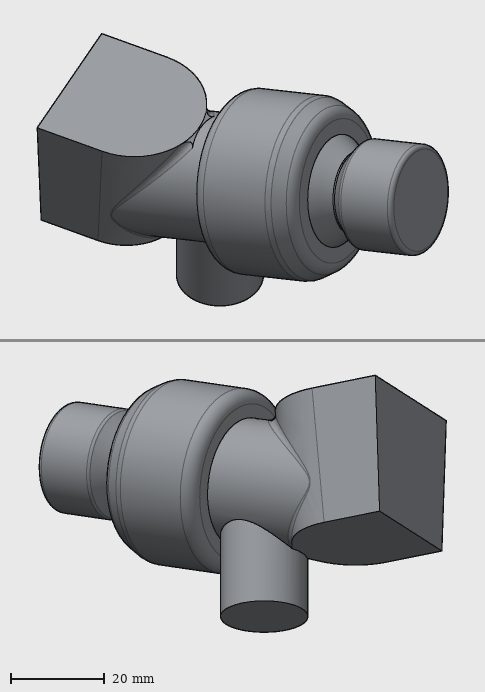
import cadquery as cq
import math


pipe_radius = 9.35
pipe_center_x = 35.95
pipe_drop = 12.8

block_height = 30.5
block_top_width = 31.0
block_base_width = 27.2
block_base_z = pipe_drop
block_top_z = block_base_z + block_height
block_spare_height = 10.0

tilt_angle = 18.0
collar_face_x = 40.85
collar_face_z = block_base_z + 18.8

arm_radius = 14.0
arm_start_x = block_base_width / 2
joint_fillet = 1.5
joint_flare = 2.0

collar_radius = 20.0
collar_length = 24.35
collar_rounding = 3.0
collar_bevel_length = 5.2
collar_bevel_depth = 2.6

neck_base_radius = 12.15
neck_radius = 9.0
neck_cone_length = 4.4
neck_length = 4.8

knob_radius = 12.0
knob_length = 16.1
knob_chamfer = knob_radius - neck_radius
knob_rounding = 1.0
knob_edge_rounding = 1.0


def nose_outline(width, z):
    """Closed D-shaped wire, as long as it is wide, with a half-round nose toward +X."""
    half = width / 2
    return (
        cq.Workplane("XY", origin=(0, 0, z))
        .moveTo(0, -half)
        .lineTo(half, -half)
        .threePointArc((width, 0), (half, half))
        .lineTo(0, half)
        .close()
        .val()
    )


def block_width_at(z):
    """Width of the tapered block at height z."""
    widening = (block_top_width - block_base_width) / block_height
    return block_base_width + widening * (z - block_base_z)


def make_block(bottom_z, top_z):
    """Tapered D-shaped block, continuing the same taper past its own height where asked."""
    bottom = nose_outline(block_width_at(bottom_z), bottom_z)
    top = nose_outline(block_width_at(top_z), top_z)
    return cq.Workplane(cq.Solid.makeLoft([bottom, top], True))


def tilted_plane():
    """Plane at the collar's rear face whose normal runs up the tilted axis."""
    angle = math.radians(tilt_angle)
    return cq.Plane(
        origin=(collar_face_x, 0, collar_face_z),
        xDir=(0, 1, 0),
        normal=(math.cos(angle), 0, math.sin(angle)),
    )


def make_arm():
    """Tilted cylinder running from inside the block to the rear face of the collar."""
    arm_length = (collar_face_x - arm_start_x) / math.cos(math.radians(tilt_angle))
    return cq.Workplane(tilted_plane()).circle(arm_radius).extrude(-arm_length)


def is_joint_edge(edge):
    """True for the curve where the arm pierces the nose, the only freeform edge as wide as the arm."""
    return edge.geomType() == "BSPLINE" and edge.BoundingBox().ylen > arm_radius


def make_trimming_body():
    """Body at the height of the block that flares out below the block's top edge.

    Its flare bevels whatever the joint rounding leaves outside that edge.
    """
    flared_width = block_top_width + joint_flare * block_height
    bottom = nose_outline(flared_width, block_base_z)
    top = nose_outline(block_top_width, block_top_z)
    return cq.Workplane(cq.Solid.makeLoft([bottom, top], True))


def make_block_and_arm():
    """Block and arm with a rounded joint.

    The block is made over-tall so that the joint is one closed curve. After rounding, the
    spare height is cut away, and the arm is put back where it leaves the trimming body.
    """
    arm = make_arm()
    tall_block = make_block(block_base_z - block_spare_height, block_top_z + block_spare_height)
    joined = tall_block.union(arm)
    joint_edges = [edge for edge in joined.edges().vals() if is_joint_edge(edge)]
    rounded = cq.Workplane(joined.val().fillet(joint_fillet, joint_edges))
    trimmed = rounded.intersect(make_trimming_body())
    space_size = 4 * collar_face_x
    space_above_base = (
        cq.Workplane("XY", origin=(0, 0, block_base_z)).rect(space_size, space_size).extrude(space_size)
    )
    return trimmed.union(arm.intersect(space_above_base))


def make_collar():
    """Thick disc, bevelled toward the knob, with every circular edge rounded."""
    plane = tilted_plane()
    body = cq.Workplane(plane).circle(collar_radius).extrude(collar_length)
    body = body.faces(cq.selectors.DirectionMinMaxSelector(plane.zDir, True)).chamfer(
        collar_bevel_length, collar_bevel_depth
    )
    return body.edges("%CIRCLE").fillet(collar_rounding)


def make_knob_and_neck():
    """Turned neck and knob, starting at the front face of the collar."""
    neck_end = collar_length + neck_length
    chamfer_end = neck_end + knob_chamfer
    knob_end = neck_end + knob_length
    profile = (
        cq.Workplane("XY")
        .moveTo(0, collar_length)
        .lineTo(neck_base_radius, collar_length)
        .lineTo(neck_radius, collar_length + neck_cone_length)
        .lineTo(neck_radius, neck_end)
        .lineTo(knob_radius, chamfer_end)
        .lineTo(knob_radius, knob_end - knob_rounding)
        .radiusArc((knob_radius - knob_rounding, knob_end), -knob_rounding)
        .lineTo(0, knob_end)
        .close()
    )
    turned = profile.revolve(360, (0, 0, 0), (0, 1, 0))
    reach = 2 * knob_radius
    shoulder_box = cq.selectors.BoxSelector(
        (-reach, chamfer_end - knob_edge_rounding, -reach),
        (reach, chamfer_end + knob_edge_rounding, reach),
        boundingbox=True,
    )
    turned = turned.edges(shoulder_box).fillet(knob_edge_rounding)
    upright = turned.rotate((0, 0, 0), (1, 0, 0), 90)
    return cq.Workplane(upright.val().moved(cq.Location(tilted_plane())))


def make_pipe():
    """Vertical cylinder rising to the tilted axis inside the arm."""
    axis_z = collar_face_z - (collar_face_x - pipe_center_x) * math.tan(math.radians(tilt_angle))
    return cq.Workplane("XY").center(pipe_center_x, 0).circle(pipe_radius).extrude(axis_z)


result = make_block_and_arm().union(make_collar()).union(make_knob_and_neck()).union(make_pipe())